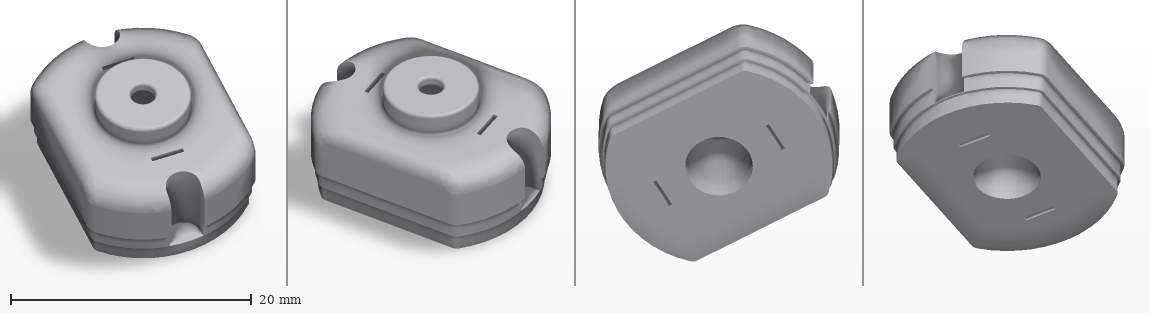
import cadquery as cq
import math

height = 10.0
shoulder_height = 8.0
depth = 15.0
half_depth = depth / 2
notch_width = 2.97
length = 19.77
round_radius = math.hypot(length / 2, notch_width / 2)

cover_base = 3.0
dome_base = 6.33
top_flat_radius = 7.7
edge_radius = 1.23

lower_step_inset = 0.55
middle_step_inset = 0.3
middle_step_base = 1.5

boss_radius = 4.0
boss_top_fillet = 0.3
boss_base_fillet = 0.25
bore_radius = 1.05
bore_fillet = 0.25
boss_roof = 0.8
counterbore_radius = 2.8

notch_center_x = 8.98
notch_floor = 1.56

slot_center_x = 5.4
slot_width = 0.4
slot_length = 2.85


def disc(radius, base, top):
    """Upright cylinder on the part axis between two heights."""
    return cq.Workplane("XY", origin=(0, 0, base)).circle(radius).extrude(top - base)


def flat_slab(inset, base, top):
    """Slab between the two flats, longer than the part."""
    slab = cq.Workplane("XY", origin=(0, 0, base))
    return slab.rect(3 * round_radius, 2 * (half_depth - inset)).extrude(top - base)


def skirt_step(inset, base, top):
    """Disc trimmed by the flats, with rounded vertical corners."""
    step = disc(round_radius - inset, base, top).intersect(flat_slab(inset, base, top))
    return step.edges("|Z and (>Y or <Y)").fillet(edge_radius - inset)


def cover():
    """Domed disc trimmed by rounded flats, with the corners blended."""
    dome_rise = shoulder_height - dome_base
    dome_run = round_radius - top_flat_radius
    domed_disc = (
        cq.Workplane("XZ")
        .moveTo(0, cover_base)
        .lineTo(round_radius, cover_base)
        .lineTo(round_radius, dome_base)
        .ellipseArc(dome_run, dome_rise, 0, 90, startAtCurrent=True)
        .lineTo(0, shoulder_height)
        .close()
        .revolve(360, (0, 0, 0), (0, 1, 0))
    )
    slab = flat_slab(0, cover_base, shoulder_height)
    slab = slab.edges("|X and >Z").fillet(edge_radius)
    body = domed_disc.intersect(slab)

    top_flat_half_depth = half_depth - edge_radius
    top_flat_corner_x = math.sqrt(top_flat_radius**2 - top_flat_half_depth**2)
    for side_x in (-1, 1):
        for side_y in (-1, 1):
            inner = (side_x * top_flat_corner_x, side_y * top_flat_half_depth, cover_base)
            outer = (side_x * round_radius, side_y * round_radius, shoulder_height)
            body = body.edges(cq.selectors.BoxSelector(inner, outer)).fillet(edge_radius)
    return body


def add_boss(body):
    """Add the round boss, with a rounded rim and a fillet at its foot."""
    boss = disc(boss_radius, shoulder_height, height).faces(">Z").edges().fillet(boss_top_fillet)
    reach = boss_radius + boss_base_fillet
    foot_zone = cq.selectors.BoxSelector(
        (-reach, -reach, shoulder_height - boss_base_fillet),
        (reach, reach, shoulder_height + boss_base_fillet),
        boundingbox=True,
    )
    return body.union(boss).edges(foot_zone).fillet(boss_base_fillet)


def cut_bore(body):
    """Cut the bore with its rounded mouth, widened below the boss roof."""
    body = body.cut(disc(bore_radius, 0, height))
    mouth_edge = cq.selectors.RadiusNthSelector(0)
    body = body.faces(">Z").edges(mouth_edge).fillet(bore_fillet)
    return body.cut(disc(counterbore_radius, 0, height - boss_roof))


def end_notch(side):
    """Cutter for the round-ended notch at one end (side is -1 or 1)."""
    cut_height = height - notch_floor
    start = cq.Workplane("XY", origin=(side * notch_center_x, 0, notch_floor))
    round_end = start.circle(notch_width / 2).extrude(cut_height)
    mouth = start.center(side * notch_width / 2, 0).rect(notch_width, notch_width).extrude(cut_height)
    return round_end.union(mouth)


def end_slot(side):
    """Cutter for the narrow slot through the part at one end (side is -1 or 1)."""
    start = cq.Workplane("XY", origin=(side * slot_center_x, 0, 0))
    return start.rect(slot_width, slot_length).extrude(height)


lower_step = skirt_step(lower_step_inset, 0, middle_step_base)
middle_step = skirt_step(middle_step_inset, middle_step_base, cover_base)
result = lower_step.union(middle_step).union(cover())
result = cut_bore(add_boss(result))

for side in (-1, 1):
    result = result.cut(end_notch(side)).cut(end_slot(side))